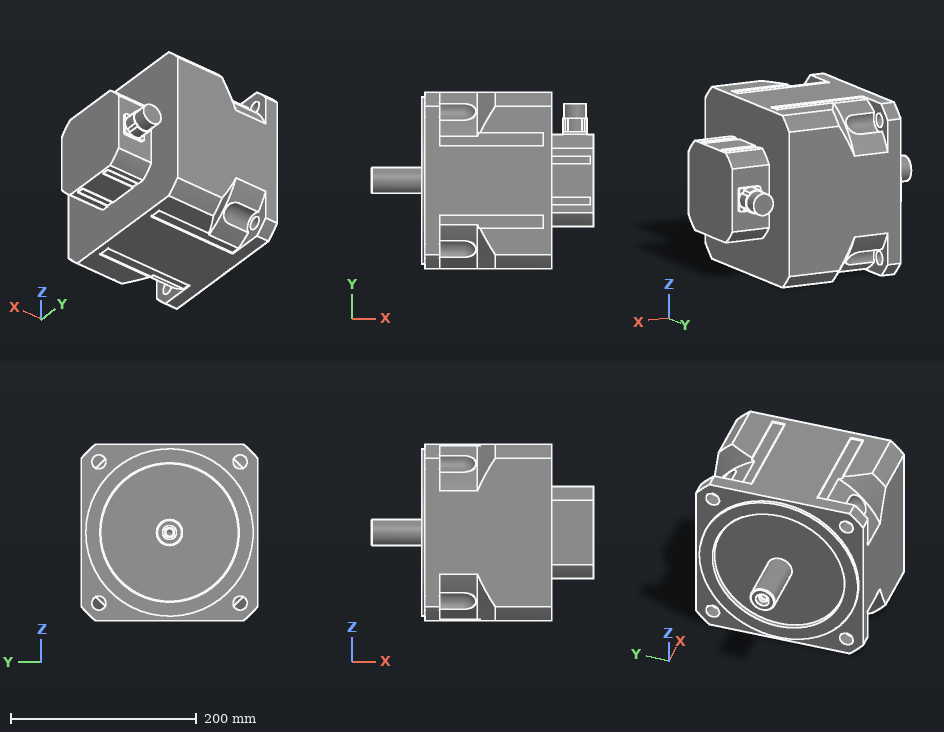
import cadquery as cq
import math


shaft_diameter = 28.0
shaft_reach = 57.5
shaft_chamfer = 1.0
centre_mouth_diameter = 15.0
centre_relief_diameter = 10.5
centre_bore_diameter = 8.38
centre_cone_depth = 4.0
centre_relief_depth = 7.5
centre_bore_depth = 25.0
centre_tip_half_angle = 59.0

housing_side = 190.0
corner_radius = 124.0
housing_length = 136.5
flange_thickness = 16.0
pilot_diameter = 180.0
pilot_height = 3.5
recess_mouth_diameter = 150.0
recess_floor_diameter = 148.0
recess_depth = 4.0

screw_spacing = 152.0
screw_hole_diameter = 15.0
relief_radius = 105.0
relief_end = 56.5
head_clearance_diameter = 25.5
head_clearance_end = 42.5

groove_width = 14.0
groove_spacing = 89.0
groove_depth = 1.5
groove_end = 127.5

cover_side = 99.0
cover_corner_radius = 60.5
cover_length = 45.0
cover_slot_width = 8.5
cover_slot_spacing = 44.0
cover_slot_length = 41.5
cover_slot_depth = 1.0

connector_from_cover_end = 20.0
plate_side = 26.0
plate_thickness = 2.8
plate_corner_radius = 2.5
collar_diameter = plate_side
collar_height = 14.5
flute_spacing = 20.0
flute_diameter = 5.0
plug_diameter = 24.0
plug_height = 16.0


def rod(diameter, start, end):
    """Cylinder along X, centred on the motor axis."""
    return cq.Workplane("YZ").workplane(offset=start).circle(diameter / 2).extrude(end - start)


def turned_square(side, radius, start, end):
    """Square bar along X whose corners are turned down to a radius."""
    bar = cq.Workplane("YZ").workplane(offset=start).rect(side, side).extrude(end - start)
    return bar.intersect(rod(2 * radius, start, end))


def slot_pairs(spacing, width, start, end, half_height, depth):
    """Two slots along X in the top face, repeated in the bottom face."""
    slots = cq.Workplane("XY")
    length = end - start
    for y in (-spacing / 2, spacing / 2):
        for z in (-half_height, half_height):
            slot = cq.Workplane("XY").box(length, width, 2 * depth, centered=(False, True, True))
            slots = slots.add(slot.translate((start, y, z)))
    return slots.combine()


def make_shaft():
    """Stepped revolve: chamfered shaft with a countersunk, relieved centre bore in its tip."""
    tip = -shaft_reach
    mouth = centre_mouth_diameter / 2
    relief = centre_relief_diameter / 2
    bore = centre_bore_diameter / 2
    outer = shaft_diameter / 2
    floor = recess_depth - pilot_height
    bore_end = tip + centre_bore_depth
    tip_end = bore_end + bore / math.tan(math.radians(centre_tip_half_angle))
    profile = (
        cq.Workplane("XY")
        .moveTo(tip, mouth)
        .lineTo(tip, outer - shaft_chamfer)
        .lineTo(tip + shaft_chamfer, outer)
        .lineTo(floor, outer)
        .lineTo(floor, 0)
        .lineTo(tip_end, 0)
        .lineTo(bore_end, bore)
        .lineTo(tip + centre_relief_depth, bore)
        .lineTo(tip + centre_relief_depth, relief)
        .lineTo(tip + centre_cone_depth, relief)
        .close()
    )
    return profile.revolve(360, (0, 0, 0), (1, 0, 0))


def corner_relief():
    """Ring that leaves a round core behind the flange and flares out at 45 degrees."""
    flare = 2 * (corner_radius - relief_radius)
    profile = (
        cq.Workplane("XY")
        .moveTo(flange_thickness, relief_radius)
        .lineTo(relief_end, relief_radius)
        .lineTo(relief_end + flare, relief_radius + flare)
        .lineTo(flange_thickness, relief_radius + flare)
        .close()
    )
    return profile.revolve(360, (0, 0, 0), (1, 0, 0))


def make_housing():
    """Flange and motor body in one block, with a pilot ring and four relieved corners."""
    body = turned_square(housing_side, corner_radius, 0, housing_length)
    body = body.union(rod(pilot_diameter, -pilot_height, 0))
    recess = (
        cq.Workplane("YZ")
        .workplane(offset=-pilot_height)
        .circle(recess_mouth_diameter / 2)
        .workplane(offset=recess_depth)
        .circle(recess_floor_diameter / 2)
        .loft()
    )
    body = body.cut(recess).cut(corner_relief())

    hole = rod(screw_hole_diameter, 0, flange_thickness)
    clearance = rod(head_clearance_diameter, flange_thickness, head_clearance_end)
    ball = cq.Workplane("XY").sphere(head_clearance_diameter / 2).translate((head_clearance_end, 0, 0))
    for y in (-screw_spacing / 2, screw_spacing / 2):
        for z in (-screw_spacing / 2, screw_spacing / 2):
            for tool in (hole, clearance, ball):
                body = body.cut(tool.translate((0, y, z)))

    grooves = slot_pairs(
        groove_spacing, groove_width, flange_thickness, groove_end, housing_side / 2, groove_depth
    )
    return body.cut(grooves)


def make_cover():
    """Encoder cover behind the housing, with shallow slots in its top and bottom."""
    start = housing_length
    cover = turned_square(cover_side, cover_corner_radius, start, start + cover_length)
    slot_end = start + cover_slot_length
    slots = slot_pairs(
        cover_slot_spacing, cover_slot_width, start, slot_end, cover_side / 2, cover_slot_depth
    )
    return cover.cut(slots)


def make_connector():
    """Square plate, fluted collar and round plug, built along Z and then turned to +Y."""
    plate = cq.Workplane("XY").rect(plate_side, plate_side).extrude(plate_thickness)
    plate = plate.edges("|Z").fillet(plate_corner_radius)
    collar = plate.faces(">Z").workplane().circle(collar_diameter / 2).extrude(collar_height, combine=False)
    flutes = (
        cq.Workplane("XY")
        .workplane(offset=plate_thickness)
        .rect(flute_spacing, flute_spacing, forConstruction=True)
        .vertices()
        .circle(flute_diameter / 2)
        .extrude(collar_height)
    )
    plug = collar.faces(">Z").workplane().circle(plug_diameter / 2).extrude(plug_height, combine=False)
    connector = plate.union(collar.cut(flutes)).union(plug)
    x = housing_length + cover_length - connector_from_cover_end
    return connector.rotate((0, 0, 0), (1, 0, 0), -90).translate((x, cover_side / 2, 0))


shaft = make_shaft()
housing = make_housing()
cover = make_cover()
connector = make_connector()

result = cq.Compound.makeCompound([shaft.val(), housing.val(), cover.val(), connector.val()])